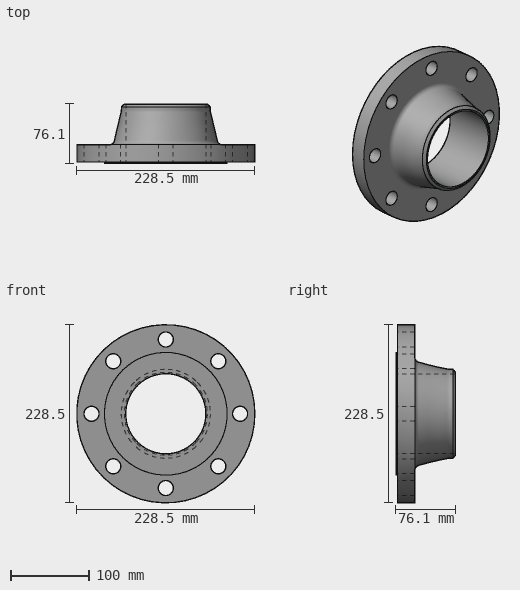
import cadquery as cq

flange_diameter = 228.5
flange_thickness = 22.5
raised_face_diameter = 157.3
raised_face_height = 1.5
total_length = 76.1
bore_diameter = 102.5

bolt_count = 8
bolt_circle_diameter = 190.5
bolt_hole_diameter = 19.0

neck_diameter = 114.3
neck_straight_length = 9.1
hub_base_diameter = 134.9
hub_fillet_radius = 6.5
weld_bevel_width = 4.0
weld_bevel_length = 3.5

edge_search_margin = 0.2

flange_radius = flange_diameter / 2
raised_face_radius = raised_face_diameter / 2
bore_radius = bore_diameter / 2
neck_radius = neck_diameter / 2
hub_base_radius = hub_base_diameter / 2
flange_back = raised_face_height + flange_thickness
neck_start = total_length - neck_straight_length


def make_body():
    """Revolve the half section (radius, y) about the Y axis."""
    section = (
        cq.Workplane("XY")
        .moveTo(bore_radius, 0)
        .lineTo(raised_face_radius, 0)
        .lineTo(raised_face_radius, raised_face_height)
        .lineTo(flange_radius, raised_face_height)
        .lineTo(flange_radius, flange_back)
        .lineTo(hub_base_radius, flange_back)
        .lineTo(neck_radius, neck_start)
        .lineTo(neck_radius, total_length - weld_bevel_length)
        .lineTo(neck_radius - weld_bevel_width, total_length)
        .lineTo(bore_radius, total_length)
        .close()
    )
    return section.revolve(360, (0, 0, 0), (0, 1, 0))


def blend_hub_end(body, radius, y):
    """Round the circular edge of the given radius at one end of the hub taper."""
    reach = radius + edge_search_margin
    edge_box = cq.selectors.BoxSelector(
        (-reach, y - edge_search_margin, -reach),
        (reach, y + edge_search_margin, reach),
        boundingbox=True,
    )
    return body.edges(edge_box).edges("%CIRCLE").fillet(hub_fillet_radius)


def make_bolt_holes():
    """Cylinders that pass through the flange, one of them straight above the axis."""
    return (
        cq.Workplane("XZ")
        .polarArray(bolt_circle_diameter / 2, 0, 360, bolt_count)
        .circle(bolt_hole_diameter / 2)
        .extrude(-flange_back)
    )


body = make_body()
body = blend_hub_end(body, hub_base_radius, flange_back)
body = blend_hub_end(body, neck_radius, neck_start)
result = body.cut(make_bolt_holes())